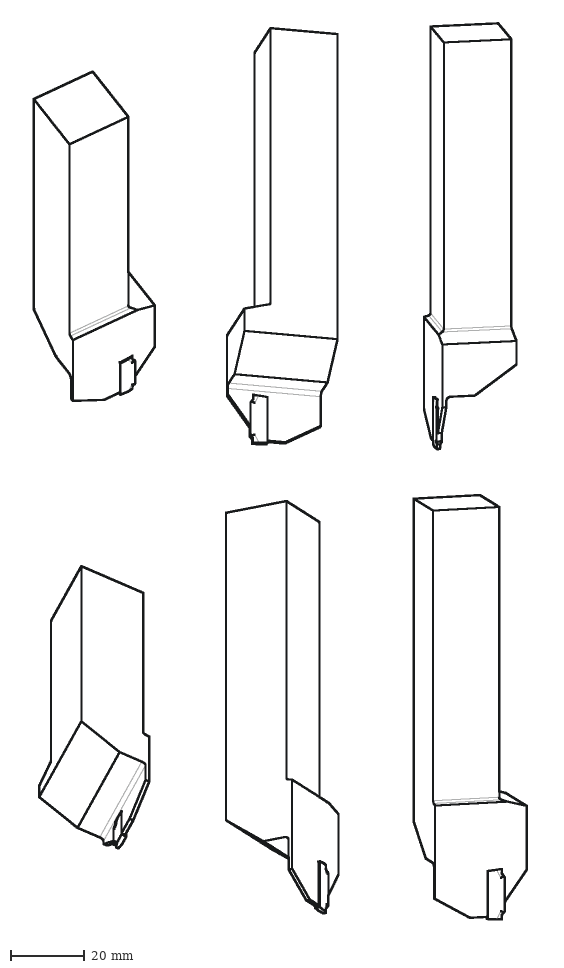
import cadquery as cq
import math

TOTAL_LENGTH = 114.3
SHANK_SIDE = 18.9
ROOT_RADIUS = 0.7

HEAD_WIDTH = 20.7
HEAD_DEPTH = 26.2
HEAD_BOTTOM_Z = 16.3
SHOULDER_Z = 33.1
SHOULDER_ANGLE = 15.0
BEVEL_TOP_Z = 24.6
BEVEL_END_X = 11.7

BLADE_X = 19.5
BLADE_BOTTOM_Z = 0.9
BLADE_FILLET = 1.1
BACK_BEVEL_Y = 10.0
BACK_BEVEL_ANGLE = 30.0
FRONT_SLOPE_TOP_Z = 13.5
FRONT_SLOPE_ANGLE = 54.0

INSERT_OUTER_X = 21.0
INSERT_BACK_Y = 15.0
INSERT_FRONT_Y = 19.8
INSERT_LENGTH = 14.1
TIP_Y = 19.1
END_RELIEF = 0.3
RAKE_START = 2.4
RAKE_MID = 1.8
RAKE_MID_Y = 19.4
GROOVE_DEPTH_Y = 19.0
GROOVE_FROM_TIP = 1.3
CORNER_BEVEL_BACK_Y = 17.4
CORNER_BEVEL_FRONT_Y = 18.6
CORNER_BEVEL_DEPTH = 0.5
CORNER_BEVEL_REACH = 1.8


def polygon_along_x(points, start_x, end_x):
    """Extrude a (Y, Z) polygon from start_x to end_x."""
    return cq.Workplane("YZ", origin=(start_x, 0, 0)).polyline(points).close().extrude(end_x - start_x)


def make_shoulder_limit():
    """Block whose two sloping top faces meet on a mitre line."""
    outer = HEAD_DEPTH
    outer_z = SHOULDER_Z - (outer - SHANK_SIDE) * math.tan(math.radians(SHOULDER_ANGLE))
    outline = [(0, 0), (outer, 0), (outer, outer_z), (SHANK_SIDE, SHOULDER_Z), (0, SHOULDER_Z)]
    y_slope = polygon_along_x(outline, 0, HEAD_WIDTH)
    x_slope = cq.Workplane("XZ").polyline(outline).close().extrude(-HEAD_DEPTH)
    return y_slope.intersect(x_slope)


def make_head():
    """Head and blade: the XZ outline trimmed by the YZ outline and the shoulder."""
    arc_offset = BLADE_FILLET * (1 - math.sqrt(0.5))
    front_outline = (
        cq.Workplane("XZ")
        .moveTo(0, SHOULDER_Z)
        .lineTo(0, BEVEL_TOP_Z)
        .lineTo(BEVEL_END_X, HEAD_BOTTOM_Z)
        .lineTo(BLADE_X - BLADE_FILLET, HEAD_BOTTOM_Z)
        .threePointArc((BLADE_X - arc_offset, HEAD_BOTTOM_Z - arc_offset),
                       (BLADE_X, HEAD_BOTTOM_Z - BLADE_FILLET))
        .lineTo(BLADE_X, BLADE_BOTTOM_Z)
        .lineTo(HEAD_WIDTH, BLADE_BOTTOM_Z)
        .lineTo(HEAD_WIDTH, SHOULDER_Z)
        .close()
        .extrude(-HEAD_DEPTH)
    )
    back_bevel_z = BLADE_BOTTOM_Z + BACK_BEVEL_Y * math.tan(math.radians(BACK_BEVEL_ANGLE))
    slope_run = (FRONT_SLOPE_TOP_Z - BLADE_BOTTOM_Z) / math.tan(math.radians(FRONT_SLOPE_ANGLE))
    side_outline = polygon_along_x(
        [(0, SHOULDER_Z), (0, back_bevel_z), (BACK_BEVEL_Y, BLADE_BOTTOM_Z),
         (HEAD_DEPTH - slope_run, BLADE_BOTTOM_Z), (HEAD_DEPTH, FRONT_SLOPE_TOP_Z), (HEAD_DEPTH, SHOULDER_Z)],
        0, HEAD_WIDTH)
    return front_outline.intersect(side_outline).intersect(make_shoulder_limit())


def make_insert_blank():
    """Insert outline with a chip groove at each tip, before its side bevels."""
    upper = [
        (INSERT_FRONT_Y, INSERT_LENGTH - RAKE_START),
        (RAKE_MID_Y, INSERT_LENGTH - RAKE_MID),
        (GROOVE_DEPTH_Y, INSERT_LENGTH - GROOVE_FROM_TIP),
        (TIP_Y, INSERT_LENGTH),
        (INSERT_BACK_Y, INSERT_LENGTH - END_RELIEF),
    ]
    lower = [(y, INSERT_LENGTH - z) for y, z in reversed(upper)]
    return polygon_along_x(upper + lower, BLADE_X, INSERT_OUTER_X)


def make_corner_bevel():
    """Wedge that bevels the -X side of the insert at its upper tip."""
    run_y = CORNER_BEVEL_FRONT_Y - CORNER_BEVEL_BACK_Y
    edge_length = math.hypot(run_y, RAKE_START)
    edge_plane = cq.Plane(
        origin=(BLADE_X, CORNER_BEVEL_BACK_Y, INSERT_LENGTH),
        xDir=(0, RAKE_START, run_y),
        normal=(0, run_y, -RAKE_START))
    depth = CORNER_BEVEL_DEPTH * edge_plane.yDir.x
    return (
        cq.Workplane(edge_plane)
        .polyline([(0, 0), (CORNER_BEVEL_REACH, 0), (CORNER_BEVEL_REACH, depth)])
        .close()
        .extrude(edge_length)
    )


def make_insert():
    """Insert with bevels on both sides of both tips."""
    insert = make_insert_blank()
    centre = ((BLADE_X + INSERT_OUTER_X) / 2, 0, INSERT_LENGTH / 2)
    upper_bevel = make_corner_bevel()
    lower_bevel = upper_bevel.mirror("XY", centre)
    for bevel in (upper_bevel, lower_bevel):
        insert = insert.cut(bevel).cut(bevel.mirror("YZ", centre))
    return insert


def make_holder():
    """Shank, head and blade in one piece, with a pocket for the insert."""
    shank = cq.Workplane("XY").box(SHANK_SIDE, SHANK_SIDE, TOTAL_LENGTH - HEAD_BOTTOM_Z, centered=False)
    shank = shank.translate((0, 0, HEAD_BOTTOM_Z))
    bevel_trim = (
        cq.Workplane("XZ")
        .polyline([(0, BEVEL_TOP_Z), (0, HEAD_BOTTOM_Z), (BEVEL_END_X, HEAD_BOTTOM_Z)])
        .close()
        .extrude(-SHANK_SIDE)
    )
    holder = make_head().union(shank.cut(bevel_trim))
    middle = SHANK_SIDE / 2
    root_edges = (
        cq.selectors.NearestToPointSelector((middle, SHANK_SIDE, SHOULDER_Z))
        + cq.selectors.NearestToPointSelector((SHANK_SIDE, middle, SHOULDER_Z))
    )
    holder = holder.edges(root_edges).fillet(ROOT_RADIUS)
    return holder.cut(make_insert_blank())


holder = make_holder()
insert = make_insert()
result = cq.Compound.makeCompound([*holder.solids().vals(), *insert.solids().vals()])